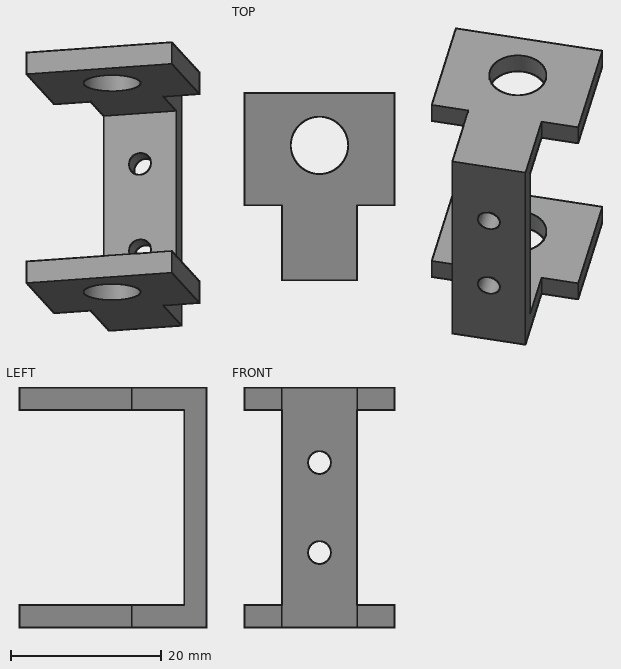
import cadquery as cq

width = 20.0
depth = 25.0
height = 32.0

thickness = 3.0
strap_width = width / 2
plate_depth = 15.0

bore_diameter = 7.6
bore_to_back = 7.0
screw_diameter = 3.0
screw_spacing = 12.0

bore_y = depth - bore_to_back


def make_strap():
    """C-shaped strap: an upright web with an arm at each end."""
    outer = cq.Workplane("XY").box(strap_width, depth, height, centered=(True, False, True))
    opening = (
        cq.Workplane("XY")
        .box(strap_width, depth - thickness, height - 2 * thickness, centered=(True, False, True))
        .translate((0, thickness, 0))
    )
    return outer.cut(opening)


def make_plate(bottom_z):
    """Wide plate at the free end of an arm."""
    return (
        cq.Workplane("XY")
        .box(width, plate_depth, thickness, centered=(True, False, False))
        .translate((0, depth - plate_depth, bottom_z))
    )


def make_bore():
    """Vertical cutter through both plates."""
    return (
        cq.Workplane("XY", origin=(0, bore_y, -height / 2))
        .circle(bore_diameter / 2)
        .extrude(height)
    )


def make_screw_holes():
    """Pair of horizontal cutters through the web."""
    return (
        cq.Workplane("XZ")
        .pushPoints([(0, -screw_spacing / 2), (0, screw_spacing / 2)])
        .circle(screw_diameter / 2)
        .extrude(-thickness)
    )


result = make_strap()
for plate_bottom in (-height / 2, height / 2 - thickness):
    result = result.union(make_plate(plate_bottom))
result = result.cut(make_bore()).cut(make_screw_holes())